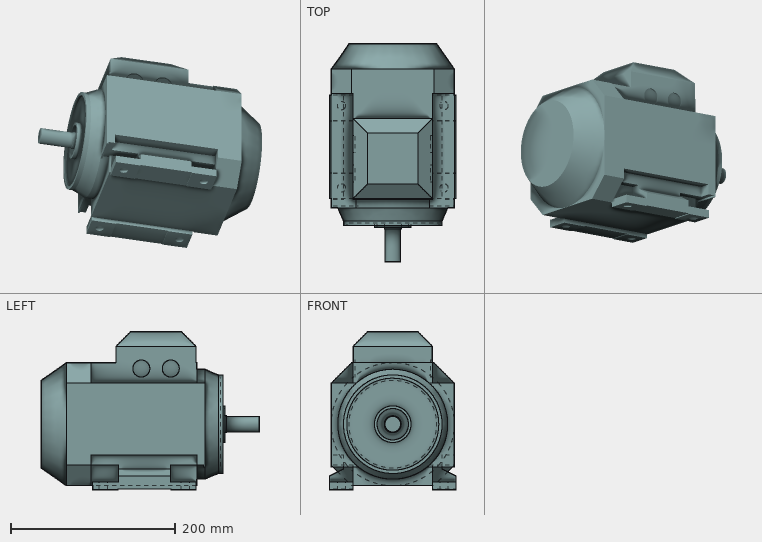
import cadquery as cq


axis_height = 80.0
shaft_radius = 9.5
shaft_length = 40.0
shoulder_radius = 10.4

shield_radius = 67.0
shield_nose_radius = 60.0
shield_nose_front = 4.0
shield_nose_back = 9.5
shield_recess_radius = 56.0
shield_recess_floor = 7.2
hub_front = 1.5
hub_outer_radius = 22.3
hub_inner_radius = 19.0

frame_front = 25.8
core_front = 35.8
ring_front = 165.0
frame_back = 194.5
frame_half_width = 75.0
frame_chamfer = 25.0
core_half_width = 48.3
frame_top = axis_height + frame_half_width
frame_bottom = axis_height - frame_half_width
side_top = frame_top - frame_chamfer
side_bottom = frame_bottom + frame_chamfer
lip_back = 28.0
lip_bottom = 28.0

hood_back = 225.5
hood_end_radius = 53.4

box_front = 37.0
box_length = 97.5
box_top = 192.5
lid_bevel = 17.8
gland_diameter = 20.7
gland_depth = 2.0
gland_height = 147.5
gland_positions = (67.7, 103.5)

foot_front = 37.0
foot_back = 162.8
foot_half_width = 77.0
foot_plate_height = 9.5
rib_front = 68.2
rib_back = 131.2
rib_edge_height = 17.0
rib_wall_height = 25.5
saddle_half_width = 59.7
saddle_top = 42.5
pad_relief_front = 67.2
pad_relief_back = 132.0
pad_relief_height = 0.8
bolt_diameter = 10.0
bolt_half_spacing = 62.5
bolt_positions = (50.0, 150.0)


def block(x_range, y_range, z_range):
    """Axis-aligned box between the given limits."""
    (x0, x1), (y0, y1), (z0, z1) = x_range, y_range, z_range
    return cq.Workplane("XY").box(x1 - x0, y1 - y0, z1 - z0, centered=False).translate((x0, y0, z0))


def centred_block(half_width, y_range, z_range):
    """Box symmetric about the X = 0 plane."""
    return block((-half_width, half_width), y_range, z_range)


def turned(profile):
    """Revolve a closed (radius, y) profile about the shaft axis."""
    solid = cq.Workplane("XY").polyline(profile).close().revolve(360, (0, 0, 0), (0, 1, 0))
    return solid.translate((0, 0, axis_height))


def make_frame():
    ring = centred_block(frame_half_width, (ring_front, frame_back), (frame_bottom, frame_top))
    ring = ring.edges("|Y").chamfer(frame_chamfer)
    core = centred_block(core_half_width, (core_front, ring_front), (frame_bottom, frame_top))
    sides = centred_block(frame_half_width, (frame_front, ring_front), (side_bottom, side_top))
    lip = centred_block(frame_half_width, (frame_front, lip_back), (lip_bottom, side_bottom))
    clearance = centred_block(frame_half_width, (core_front, ring_front), (side_bottom, saddle_top))
    saddle = centred_block(saddle_half_width, (core_front, ring_front), (side_bottom, saddle_top))
    return sides.cut(clearance).union(lip).union(core).union(saddle).union(ring)


def make_hood():
    return turned([
        (0, frame_back),
        (frame_half_width, frame_back),
        (hood_end_radius, hood_back),
        (0, hood_back),
    ])


def make_shield_and_shaft():
    return turned([
        (0, -shaft_length),
        (shaft_radius, -shaft_length),
        (shaft_radius, 0),
        (shoulder_radius, 0),
        (shoulder_radius, shield_recess_floor),
        (hub_inner_radius, shield_recess_floor),
        (hub_inner_radius, hub_front),
        (hub_outer_radius, hub_front),
        (hub_outer_radius, shield_recess_floor),
        (shield_recess_radius, shield_recess_floor),
        (shield_recess_radius, shield_nose_front),
        (shield_nose_radius, shield_nose_front),
        (shield_nose_radius, shield_nose_back),
        (shield_radius, frame_front),
        (shield_radius, core_front),
        (0, core_front),
    ])


def make_terminal_box():
    box = centred_block(core_half_width, (box_front, box_front + box_length), (frame_top, box_top))
    return box.faces(">Z").edges().chamfer(lid_bevel)


def make_gland_recesses():
    """Shallow round recesses in both side walls of the core and terminal box."""
    cutters = cq.Workplane("XY")
    for y in gland_positions:
        for wall_x in (-core_half_width, core_half_width - gland_depth):
            disc = cq.Workplane("YZ", origin=(wall_x, y, gland_height))
            cutters = cutters.add(disc.circle(gland_diameter / 2).extrude(gland_depth))
    return cutters.combine()


def make_right_foot():
    """Foot on the +X side: plate with a relieved underside, sloping rib and two bolt holes."""
    foot_x = (core_half_width, foot_half_width)
    plate = block(foot_x, (foot_front, foot_back), (0, foot_plate_height))
    rib_profile = [
        (core_half_width, 0),
        (foot_half_width, 0),
        (foot_half_width, rib_edge_height),
        (saddle_half_width, rib_wall_height),
        (saddle_half_width, saddle_top),
        (core_half_width, saddle_top),
    ]
    rib = cq.Workplane("XZ", origin=(0, rib_front, 0)).polyline(rib_profile).close()
    foot = plate.union(rib.extrude(rib_front - rib_back))
    relief = block(foot_x, (pad_relief_front, pad_relief_back), (0, pad_relief_height))
    bolts = cq.Workplane("XY").pushPoints([(bolt_half_spacing, y) for y in bolt_positions])
    return foot.cut(relief).cut(bolts.circle(bolt_diameter / 2).extrude(foot_plate_height))


right_foot = make_right_foot()
result = (
    make_frame()
    .union(make_hood())
    .union(make_shield_and_shaft())
    .union(make_terminal_box())
    .cut(make_gland_recesses())
    .union(right_foot)
    .union(right_foot.mirror("YZ"))
)